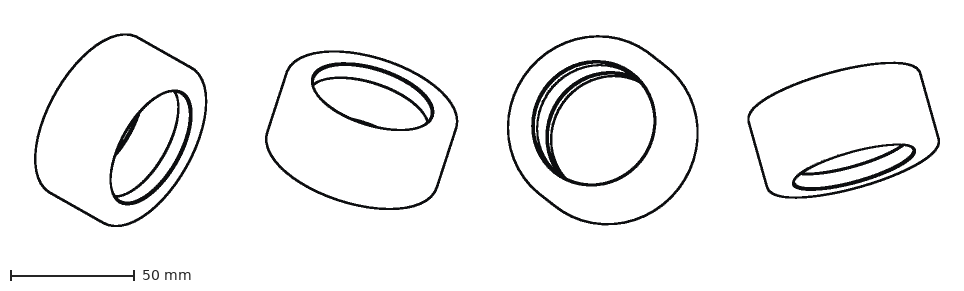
import cadquery as cq

outer_diameter = 72.0
width = 32.0
bore_diameter = 50.0
groove_diameter = 60.0
land_width = 7.0
rim_fillet = 2.0
groove_fillet = 1.0
bore_chamfer = 0.5

groove_width = width - 2 * land_width


def cylinder(diameter, length):
    """Cylinder along X, centred on the origin."""
    start = (-length / 2, 0, 0)
    return cq.Workplane("YZ", origin=start).circle(diameter / 2).extrude(length)


ring = cylinder(outer_diameter, width)
ring = ring.cut(cylinder(bore_diameter, width))
ring = ring.cut(cylinder(groove_diameter, groove_width))

ring = ring.edges(cq.selectors.RadiusNthSelector(0)).chamfer(bore_chamfer)

ring = ring.edges(cq.selectors.RadiusNthSelector(-2)).fillet(groove_fillet)

result = ring.edges(cq.selectors.RadiusNthSelector(-1)).fillet(rim_fillet)